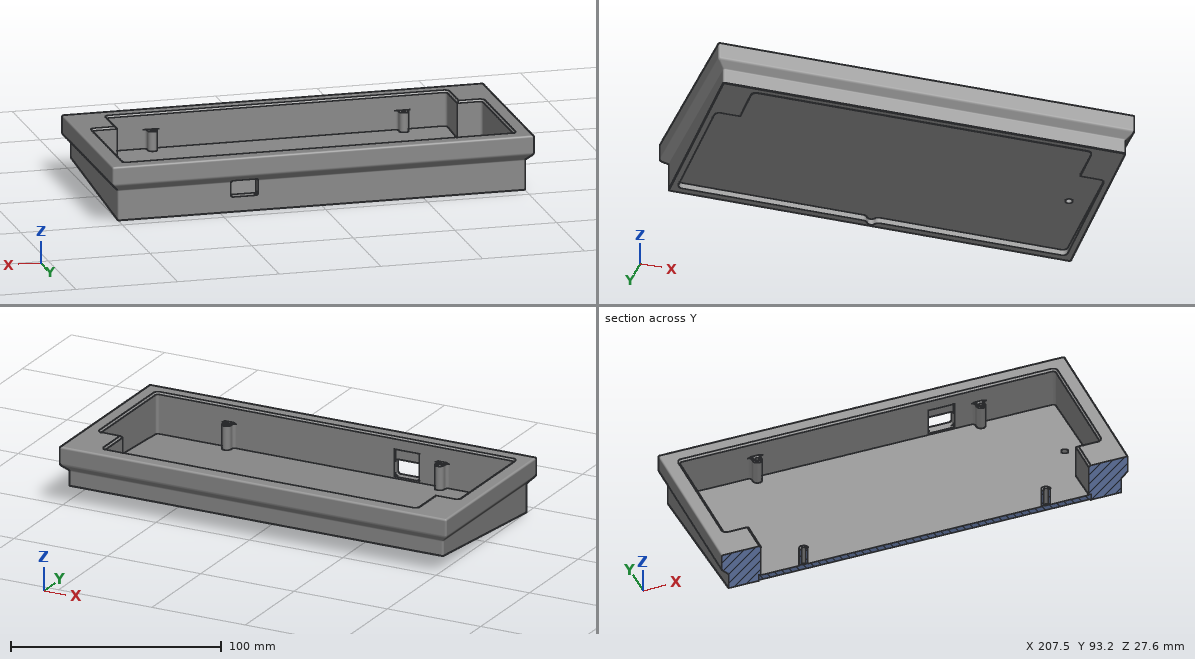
import cadquery as cq
import math

collar_length = 207.5
collar_width = 93.2
housing_height = 27.6
collar_face_height = 9.1
collar_overhang = 3.42
edge_round = 1.0
slope_round = 2.0
base_chamfer = 0.31
bottom_tilt = 4.7

cavity_half_length = 95.9
cavity_half_width = 38.7
cavity_step_x = 83.6
cavity_step_y = -19.5
cavity_corner_round = 1.5
mouth_chamfer = 1.0

floor_tilt = 2.6
floor_height = 8.3
plate_thickness = 3.0
plate_margin = 1.15
plate_corner_round = 2.5
pry_notch_diameter = 4.5
pry_notch_round = 2.5
floor_hole_diameter = 3.5
floor_hole_x = 86.1
floor_hole_y = 1.2

post_diameter = 4.5
post_hole_diameter = 2.0
post_top = 19.5
post_y = 36.0
front_post_x = 61.8
back_post_x = 57.0
post_root_round = 1.5
post_nose_chamfer = 0.6

port_x = 38.0
port_width = 13.5
port_bottom = 7.5
port_height = 8.3
port_corner_round = 1.2
pocket_height = 14.0
pocket_depth = 1.55

lower_half_length = collar_length / 2 - collar_overhang
lower_half_width = collar_width / 2 - collar_overhang
slope_top = housing_height - collar_face_height
slope_bottom = slope_top - collar_overhang
plate_half_length = cavity_half_length + plate_margin
plate_half_width = cavity_half_width + plate_margin
plate_step_x = cavity_step_x + plate_margin
plate_step_y = cavity_step_y - plate_margin


def edges_at(body, points):
    """The edges of a body whose middles lie nearest to the given points."""
    edges = [body.edges(cq.selectors.NearestToPointSelector(point)).val() for point in points]
    return body.newObject(edges)


def tilt_with_floor(body):
    """Move a body made on a level floor at Z = 0 onto the sloping floor."""
    return body.rotate((0, 0, 0), (1, 0, 0), -floor_tilt).translate((0, 0, floor_height))


def make_stepped_prism(half_length, half_width, step_x, step_y, corner_round, bottom, depth):
    """Prism with a narrower front part; its outward corners are rounded."""
    right_side = [(half_length, half_width), (half_length, step_y), (step_x, step_y), (step_x, -half_width)]
    left_side = [(-x, y) for x, y in reversed(right_side)]
    prism = (
        cq.Workplane("XY", origin=(0, 0, bottom))
        .polyline(right_side + left_side).close().extrude(depth)
    )
    outward = [(x, y) for x, y in right_side + left_side if (abs(x), y) != (step_x, step_y)]
    return edges_at(prism, [(x, y, bottom + depth / 2) for x, y in outward]).fillet(corner_round)


def make_collar_prism(plane, half_span, length):
    """Prism with walls, 45 degree slope and collar on both sides, its slope lines rounded."""
    foot = (half_span - collar_overhang, slope_bottom)
    brow = (half_span, slope_top)
    right_side = [(foot[0], -housing_height), foot, brow, (half_span, housing_height)]
    left_side = [(-x, z) for x, z in reversed(right_side)]
    prism = (
        cq.Workplane(plane).polyline(right_side + left_side).close()
        .extrude(length / 2, both=True)
    )
    frame = cq.Plane.named(plane)
    for (x, z), radius in [(foot, edge_round), (brow, slope_round)]:
        lines = [frame.toWorldCoords((side * x, z, 0)).toTuple() for side in (-1, 1)]
        prism = edges_at(prism, lines).fillet(radius)
    return prism


def make_underside_cutter():
    """Everything below the sloping underside; the base chamfer's back edge ends at Z = 0."""
    rise = math.tan(math.radians(bottom_tilt))
    back_bottom = -base_chamfer * rise
    front_bottom = back_bottom + 2 * lower_half_width * rise
    return (
        cq.Workplane("YZ")
        .polyline([(lower_half_width, back_bottom), (-lower_half_width, front_bottom),
                   (-lower_half_width, -2 * housing_height), (lower_half_width, -2 * housing_height)])
        .close().extrude(collar_length, both=True)
    )


def make_shell():
    """Solid outside shape of the housing."""
    shell = make_collar_prism("YZ", collar_width / 2, collar_length)
    shell = shell.intersect(make_collar_prism("XZ", collar_length / 2, collar_width))
    shell = shell.cut(make_underside_cutter())
    corner_edges = shell.newObject([])
    corner_reach = 2 * collar_overhang
    for x in (-lower_half_length, lower_half_length):
        for y in (-lower_half_width, lower_half_width):
            corner = cq.selectors.BoxSelector(
                (x - corner_reach, y - corner_reach, 0),
                (x + corner_reach, y + corner_reach, housing_height))
            corner_edges = corner_edges.add(shell.edges(corner))
    shell = shell.newObject(corner_edges.vals()).fillet(edge_round)
    shell = shell.faces("<Z").edges().chamfer(base_chamfer)
    return shell.faces(">Z").edges().fillet(edge_round)


def make_plate_blank(depth):
    """Floor plate outline with the tab that fills the pry notch, from a level floor down."""
    blank = make_stepped_prism(plate_half_length, plate_half_width, plate_step_x, plate_step_y,
                               plate_corner_round, -depth, depth)
    notch_radius = pry_notch_diameter / 2
    notch = cq.Workplane("XY", origin=(0, plate_half_width, -depth)).circle(notch_radius).extrude(depth)
    blank = blank.union(notch)
    entry = [(side * notch_radius, plate_half_width, -depth / 2) for side in (-1, 1)]
    return edges_at(blank, entry).fillet(pry_notch_round)


def make_back_post():
    """Post on the Y axis with a half-round nose toward the middle, flaring into the back wall."""
    radius = post_diameter / 2
    flare_x = radius + post_root_round
    flare_y = cavity_half_width - post_root_round
    root_y = (cavity_half_width + plate_half_width) / 2
    return (
        cq.Workplane("XY")
        .moveTo(-radius, post_y)
        .threePointArc((0, post_y - radius), (radius, post_y))
        .lineTo(radius, flare_y)
        .radiusArc((flare_x, cavity_half_width), post_root_round)
        .lineTo(flare_x, root_y).lineTo(-flare_x, root_y).lineTo(-flare_x, cavity_half_width)
        .radiusArc((-radius, flare_y), post_root_round)
        .close().extrude(post_top)
    )


def add_posts(body):
    """Two back and two front posts; the floor seat trims them at the floor afterwards."""
    post = make_back_post()
    nose_edge = edges_at(post, [(0, post_y - post_diameter / 2, post_top)])
    chamfered_post = nose_edge.chamfer(post_nose_chamfer)
    hole = cq.Workplane("XY").center(0, post_y).circle(post_hole_diameter / 2).extrude(post_top)
    back_post = chamfered_post.cut(hole)
    front_post = post.cut(hole).mirror("XZ")
    for one_post, x in [(back_post, back_post_x), (front_post, front_post_x)]:
        for side in (-1, 1):
            body = body.union(one_post.translate((side * x, 0, 0)))
    return body


def make_back_wall_cutter(height, depth):
    """Block of the port width reaching a given depth into the back wall from the cavity."""
    return (
        cq.Workplane("XY", origin=(port_x, cavity_half_width, port_bottom))
        .rect(port_width, 2 * depth).extrude(height)
    )


def cut_port(body):
    """Square inside pocket and the round-cornered port, level with each other at the bottom."""
    through_wall = collar_width / 2 - cavity_half_width
    pocket = make_back_wall_cutter(pocket_height, pocket_depth)
    port = make_back_wall_cutter(port_height, through_wall).edges("|Y").fillet(port_corner_round)
    return body.cut(pocket).cut(port)


def make_housing():
    housing = make_shell()
    housing = housing.cut(make_stepped_prism(
        cavity_half_length, cavity_half_width, cavity_step_x, cavity_step_y,
        cavity_corner_round, -housing_height, 2 * housing_height))
    mouth = housing.faces(">Z").val().innerWires()[0]
    housing = housing.newObject(mouth.Edges()).chamfer(mouth_chamfer)
    housing = add_posts(housing)
    housing = housing.cut(tilt_with_floor(make_plate_blank(housing_height)))
    return cut_port(housing)


def make_floor_plate():
    hole = (
        cq.Workplane("XY").center(floor_hole_x, floor_hole_y)
        .circle(floor_hole_diameter / 2).extrude(housing_height)
    )
    return tilt_with_floor(make_plate_blank(plate_thickness)).cut(hole)


housing = make_housing()
floor_plate = make_floor_plate()
result = cq.Compound.makeCompound([housing.val(), floor_plate.val()])